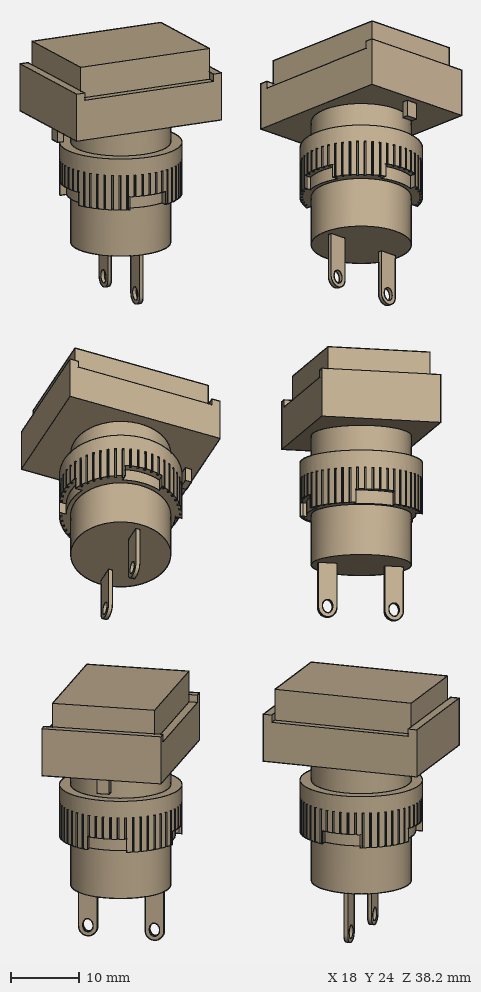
import cadquery as cq

total_height = 38.2
bezel_top = 34.6
ledge_top = 33.5
bezel_bottom = 27.43
ring_top = 23.38
slit_top = 20.8
notch_top = 17.57
ring_bottom = 15.6
barrel_bottom = 8.05

bezel_width = 18.0
bezel_length = 24.0
cap_width = 15.45
cap_length = 21.3

peg_width = 1.85
peg_thickness = 1.0
peg_center_y = -10.43
peg_height = 2.45

barrel_diameter = 14.7
terminal_pitch = 10.05
terminal_center_x = 0.1
terminal_width = 2.8
terminal_thickness = 0.6
eyelet_width = 1.55
eyelet_height = 2.0
eyelet_center_z = 1.6

ring_diameter = 18.0
sleeve_diameter = 16.0
notch_width = 5.9
slit_count = 50
slit_width = 0.25
slit_depth = 0.4
slit_start_angle = 0.4


def block(width, length, bottom, top):
    """Rectangular block centred on the Z axis between two levels."""
    return (
        cq.Workplane("XY")
        .workplane(offset=bottom)
        .rect(width, length)
        .extrude(top - bottom)
    )


def cylinder(diameter, bottom, top):
    """Round post on the Z axis between two levels."""
    return (
        cq.Workplane("XY")
        .workplane(offset=bottom)
        .circle(diameter / 2)
        .extrude(top - bottom)
    )


def make_bezel():
    """Rectangular bezel whose +X and -X rims are lowered to a ledge."""
    bezel = block(bezel_width, bezel_length, bezel_bottom, bezel_top)
    channel = block(bezel_width, cap_length, ledge_top, bezel_top)
    return bezel.cut(channel)


def make_peg():
    """Small locating peg that hangs below the -Y end of the bezel."""
    peg = block(peg_width, peg_thickness, bezel_bottom - peg_height, bezel_bottom)
    return peg.translate((0, peg_center_y, 0))


def make_terminal(center_x):
    """Flat solder terminal with a round tip and an elliptical eyelet."""
    half_width = terminal_width / 2
    blade = (
        cq.Workplane("XZ")
        .moveTo(center_x - half_width, barrel_bottom)
        .lineTo(center_x - half_width, half_width)
        .threePointArc((center_x, 0), (center_x + half_width, half_width))
        .lineTo(center_x + half_width, barrel_bottom)
        .close()
        .extrude(terminal_thickness / 2, both=True)
    )
    eyelet = (
        cq.Workplane("XZ")
        .center(center_x, eyelet_center_z)
        .ellipse(eyelet_width / 2, eyelet_height / 2)
        .extrude(terminal_thickness, both=True)
    )
    return blade.cut(eyelet)


def make_switch():
    """Bezel, push cap, barrel, peg and terminals as one solid."""
    switch = make_bezel()
    switch = switch.union(block(cap_width, cap_length, ledge_top, total_height))
    switch = switch.union(cylinder(barrel_diameter, barrel_bottom, bezel_bottom))
    switch = switch.union(make_peg())
    for side in (-1, 1):
        switch = switch.union(make_terminal(terminal_center_x + side * terminal_pitch / 2))
    return switch


def make_slit(angle):
    """Cutter for one vertical knurling slit at an angle around the ring."""
    slit = block(2 * slit_depth, slit_width, ring_bottom, slit_top)
    return slit.translate((ring_diameter / 2, 0, 0)).rotate((0, 0, 0), (0, 0, 1), angle)


def make_notches():
    """Cutter for the four bottom notches, which stops at the sleeve."""
    cross_length = 2 * ring_diameter
    cross = block(cross_length, notch_width, ring_bottom, notch_top)
    cross = cross.union(block(notch_width, cross_length, ring_bottom, notch_top))
    return cross.cut(cylinder(sleeve_diameter, ring_bottom, notch_top))


def make_ring():
    """Knurled ring around the barrel with four notches that bare a thin sleeve."""
    ring = cylinder(ring_diameter, ring_bottom, ring_top)
    for index in range(slit_count):
        ring = ring.cut(make_slit(slit_start_angle + index * 360 / slit_count))
    ring = ring.cut(make_notches())
    return ring.cut(cylinder(barrel_diameter, ring_bottom, ring_top))


switch = make_switch()
locking_ring = make_ring()

result = cq.Compound.makeCompound([switch.val(), locking_ring.val()])